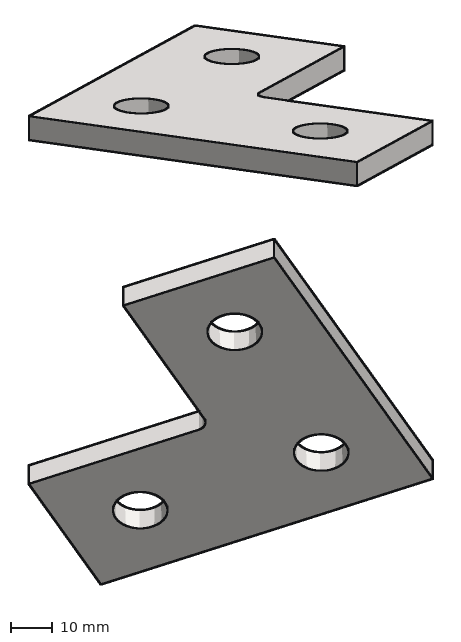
import cadquery as cq

leg_length = 88.0
leg_width = 40.0
thickness = 6.0
hole_diameter = 13.0
hole_spacing = 48.0
inner_corner_radius = 3.0

hole_inset = leg_width / 2
far_hole = hole_inset + hole_spacing
hole_centers = [
    (hole_inset, hole_inset),
    (far_hole, hole_inset),
    (hole_inset, far_hole),
]


def make_plate():
    """L-shaped plate with a rounded inner corner."""
    horizontal_leg = cq.Workplane("XY").box(leg_length, leg_width, thickness, centered=False)
    vertical_leg = cq.Workplane("XY").box(leg_width, leg_length, thickness, centered=False)
    plate = horizontal_leg.union(vertical_leg)
    inner_corner = cq.NearestToPointSelector((leg_width, leg_width, thickness / 2))
    return plate.edges("|Z").edges(inner_corner).fillet(inner_corner_radius)


def make_holes():
    """Cylinders for the three through holes."""
    return cq.Workplane("XY").pushPoints(hole_centers).circle(hole_diameter / 2).extrude(thickness)


result = make_plate().cut(make_holes())